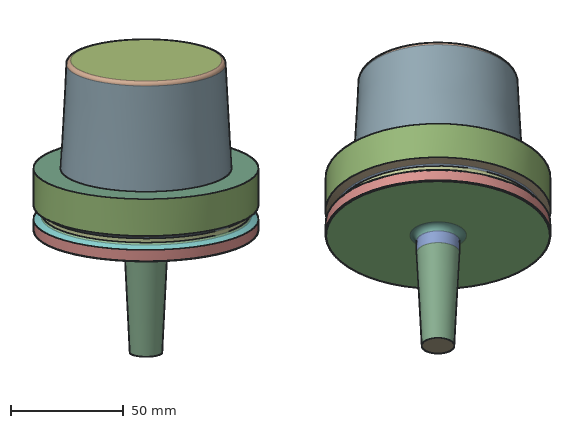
import cadquery as cq

total_height = 135.0
hub_height = 50.0
flange_thickness = 29.0
flange_top = total_height - hub_height
flange_bottom = flange_top - flange_thickness
stem_taper_height = 47.1

flange_radius = 100.0 / 2
hub_base_radius = 38.1
hub_top_radius = 35.4
stem_radius = 9.6
stem_tip_radius = 7.3

groove_radius = 46.2
groove_mouth_width = 6.5
groove_floor_width = 3.1
groove_center = 64.8
groove_cut_radius = flange_radius + 1.4

hub_edge_fillet = 1.9
stem_root_fillet = 3.0
groove_floor_fillet = 1.0
flange_edge_chamfer = 0.4

selection_margin = 0.1


def revolve_profile(points):
    """Turn a closed (radius, height) outline around the Z axis."""
    return cq.Workplane("XZ").polyline(points).close().revolve(360, (0, 0), (0, 1))


def make_body():
    """Stem, flange and tapered hub in one turned outline."""
    return revolve_profile([
        (0, 0),
        (stem_tip_radius, 0),
        (stem_radius, stem_taper_height),
        (stem_radius, flange_bottom),
        (flange_radius, flange_bottom),
        (flange_radius, flange_top),
        (hub_base_radius, flange_top),
        (hub_top_radius, total_height),
        (0, total_height),
    ])


def edges_within(radius, height):
    """Selector for edges at this height that lie within this radius."""
    reach = radius + selection_margin
    return cq.selectors.BoxSelector(
        (-reach, -reach, height - selection_margin),
        (reach, reach, height + selection_margin),
        boundingbox=True,
    )


def cut_groove(body):
    """Cut the flange groove and round both corners of its floor."""
    floor_half = groove_floor_width / 2
    mouth_half = groove_mouth_width / 2
    body = body.cut(revolve_profile([
        (groove_radius, groove_center - floor_half),
        (flange_radius, groove_center - mouth_half),
        (groove_cut_radius, groove_center - mouth_half),
        (groove_cut_radius, groove_center + mouth_half),
        (flange_radius, groove_center + mouth_half),
        (groove_radius, groove_center + floor_half),
    ]))
    for height in (groove_center - floor_half, groove_center + floor_half):
        body = body.edges(edges_within(groove_radius, height)).fillet(groove_floor_fillet)
    return body


body = make_body()
body = body.edges(edges_within(hub_top_radius, total_height)).fillet(hub_edge_fillet)
body = body.edges(edges_within(stem_radius, flange_bottom)).fillet(stem_root_fillet)
stem_root_radius = stem_radius + stem_root_fillet
flange_outer_edge = (
    edges_within(flange_radius, flange_bottom) - edges_within(stem_root_radius, flange_bottom)
)
body = body.edges(flange_outer_edge).chamfer(flange_edge_chamfer)
result = cut_groove(body)